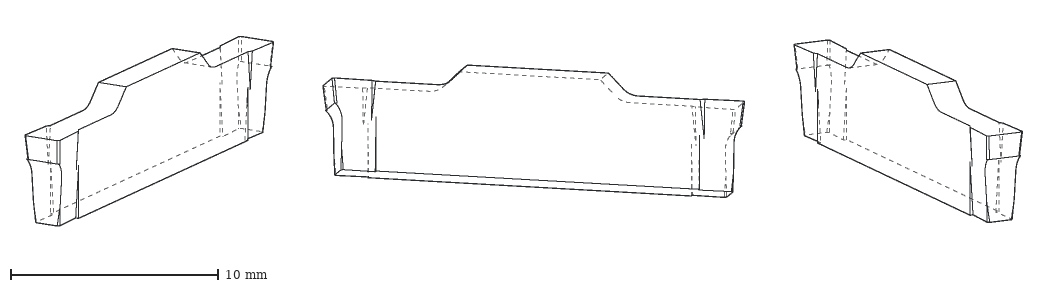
import cadquery as cq
import math

length = 20.6
end_y = length / 2
edge_width = 1.95
body_width = 1.57
height = 5.5

shelf_z = 4.45
crest_half_length = 3.52
flank_angle = math.radians(45)
blend_radius = 1.03

nose_inset = 0.15
nose_z = 3.23
foot_inset = 0.52
foot_z = 2.4

head_length = 2.0
ramp_end = 2.2
relief_end = 2.22
back_taper = 0.04
side_relief = 0.062

nose_bevel = 0.1
foot_bevel = 0.1
foot_bevel_height = 1.03
margin = 0.2

sharp_half_width = edge_width / 2 + back_taper * nose_bevel


def side_profile():
    """Closed outline in the YZ plane, extruded symmetrically across X."""
    blend_drop = blend_radius * (1 - math.cos(flank_angle))
    blend_start_z = shelf_z + blend_drop
    blend_start_y = crest_half_length + (height - blend_start_z) / math.tan(flank_angle)
    blend_end_y = blend_start_y + blend_radius * math.sin(flank_angle)
    blend_mid = (
        blend_end_y - blend_radius * math.sin(flank_angle / 2),
        shelf_z + blend_radius * (1 - math.cos(flank_angle / 2)),
    )

    arc_run = foot_inset - nose_inset
    arc_rise = nose_z - foot_z
    arc_angle = 2 * math.atan2(arc_run, arc_rise)
    arc_radius = arc_rise / math.sin(arc_angle)
    foot_y = end_y - foot_inset
    clearance_mid = (
        foot_y + arc_radius * (1 - math.cos(arc_angle / 2)),
        foot_z + arc_radius * math.sin(arc_angle / 2),
    )

    half = (
        cq.Workplane("YZ")
        .moveTo(0, 0)
        .lineTo(foot_y, 0)
        .lineTo(foot_y, foot_z)
        .threePointArc(clearance_mid, (end_y - nose_inset, nose_z))
        .lineTo(end_y, shelf_z)
        .lineTo(blend_end_y, shelf_z)
        .threePointArc(blend_mid, (blend_start_y, blend_start_z))
        .lineTo(crest_half_length, height)
        .lineTo(0, height)
        .close()
        .extrude(edge_width, both=True)
    )
    return half.union(half.mirror("XZ"))


def half_width_at(inset, z):
    return sharp_half_width - back_taper * inset - side_relief * (shelf_z - z)


def body_block(block_length):
    return cq.Workplane().box(body_width, block_length, height, centered=(True, True, False))


def cross_section(y, bottom_half_width, top_half_width, top_z):
    """Symmetric trapezoid wire at a given Y."""
    points = [
        cq.Vector(-bottom_half_width, y, 0),
        cq.Vector(bottom_half_width, y, 0),
        cq.Vector(top_half_width, y, top_z),
        cq.Vector(-top_half_width, y, top_z),
    ]
    return cq.Wire.makePolygon(points, close=True)


def drafted_section(inset, top_half_width):
    """Side-relieved cross-section at a distance from the negative Y end."""
    bottom_half_width = top_half_width - side_relief * shelf_z
    return cross_section(inset - end_y, bottom_half_width, top_half_width, shelf_z)


def head_section(inset):
    return drafted_section(inset, half_width_at(inset, shelf_z))


def ruled_solid(first, second):
    return cq.Workplane(cq.Solid.makeLoft([first, second], True))


def head_envelope():
    """Head, its ramps down to the body, and the relief running into the body."""
    head = ruled_solid(head_section(0), head_section(head_length))
    ramp = ruled_solid(head_section(head_length), drafted_section(ramp_end, body_width / 2))
    relief_limit = ruled_solid(head_section(0), head_section(relief_end))
    relieved_body = body_block(length).intersect(relief_limit)
    return head.union(ramp).union(relieved_body)


def corner_wedge(side, lower_point, upper_point, lower_size, upper_size):
    """Bevel cutter following a corner; points are (half-width, Y, Z)."""
    sections = []
    for (x, y, z), size in ((lower_point, lower_size), (upper_point, upper_size)):
        points = [
            cq.Vector(side * (x + margin), y - margin, z),
            cq.Vector(side * (x + margin), y + size + margin, z),
            cq.Vector(side * (x - size - margin), y - margin, z),
        ]
        sections.append(cq.Wire.makePolygon(points, close=True))
    return ruled_solid(*sections)


def corner_point(inset, z):
    return (half_width_at(inset, z), inset - end_y, z)


def bevel_cutters():
    """Nose bevels have constant size; foot bevels widen downwards."""
    nose_low = corner_point(nose_inset, nose_z)
    nose_high = corner_point(0, shelf_z)
    foot_low = corner_point(foot_inset, 0)
    foot_high = corner_point(foot_inset, foot_bevel_height)
    cutters = []
    for side in (-1, 1):
        cutters.append(corner_wedge(side, nose_low, nose_high, nose_bevel, nose_bevel))
        cutters.append(corner_wedge(side, foot_low, foot_high, foot_bevel, 0))
    return cutters


envelope = body_block(length - 2 * relief_end)
head = head_envelope()
for cutter in bevel_cutters():
    head = head.cut(cutter)
envelope = envelope.union(head).union(head.mirror("XZ"))

result = side_profile().intersect(envelope)